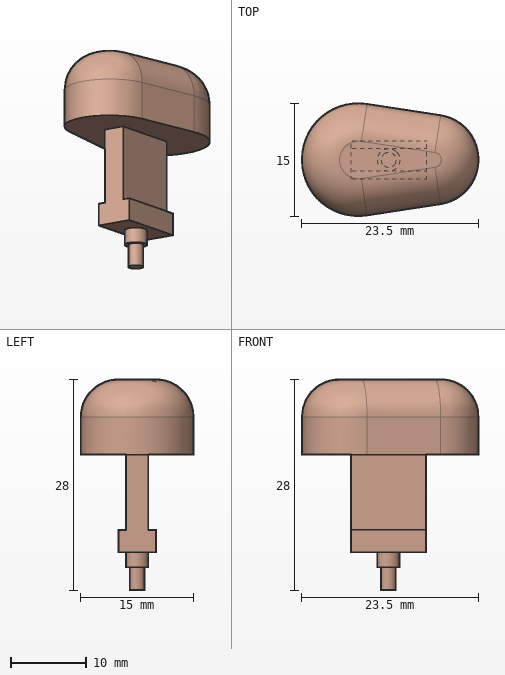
import cadquery as cq
import math

total_height = 28.0

head_height = 10.0
large_end_radius = 7.5
small_end_radius = 6.0
end_spacing = 10.0
crown_radius = head_height / 2

stem_x = 4.0
stem_width = 10.0
neck_thickness = 3.0
foot_thickness = 5.0
foot_height = 3.0
neck_height = 10.0
collar_diameter = 3.0
collar_height = 2.0
pin_diameter = 2.0

head_bottom = total_height - head_height
neck_bottom = head_bottom - neck_height
foot_bottom = neck_bottom - foot_height
collar_bottom = foot_bottom - collar_height


def make_head():
    """Tapered oval block whose flanks are tangent to both ends, with a rounded crown."""
    taper_sine = (large_end_radius - small_end_radius) / end_spacing
    taper_cosine = math.sqrt(1 - taper_sine**2)

    def tangent_point(center_x, radius, side):
        return (center_x + radius * taper_sine, side * radius * taper_cosine)

    return (
        cq.Workplane("XY", origin=(0, 0, head_bottom))
        .moveTo(*tangent_point(0, large_end_radius, -1))
        .lineTo(*tangent_point(end_spacing, small_end_radius, -1))
        .threePointArc(
            (end_spacing + small_end_radius, 0),
            tangent_point(end_spacing, small_end_radius, 1),
        )
        .lineTo(*tangent_point(0, large_end_radius, 1))
        .threePointArc((-large_end_radius, 0), tangent_point(0, large_end_radius, -1))
        .close()
        .extrude(head_height)
        .faces(">Z")
        .edges()
        .fillet(crown_radius)
    )


def stem_plane(bottom):
    """Horizontal workplane on the stem axis."""
    return cq.Workplane("XY", origin=(stem_x, 0, bottom))


def make_stem():
    """Neck, foot, collar and pin, all centred on the stem axis."""
    neck = stem_plane(neck_bottom).rect(stem_width, neck_thickness).extrude(neck_height)
    foot = stem_plane(foot_bottom).rect(stem_width, foot_thickness).extrude(foot_height)
    collar = stem_plane(collar_bottom).circle(collar_diameter / 2).extrude(collar_height)
    pin = stem_plane(0).circle(pin_diameter / 2).extrude(collar_bottom)
    return neck.union(foot).union(collar).union(pin)


result = make_head().union(make_stem())